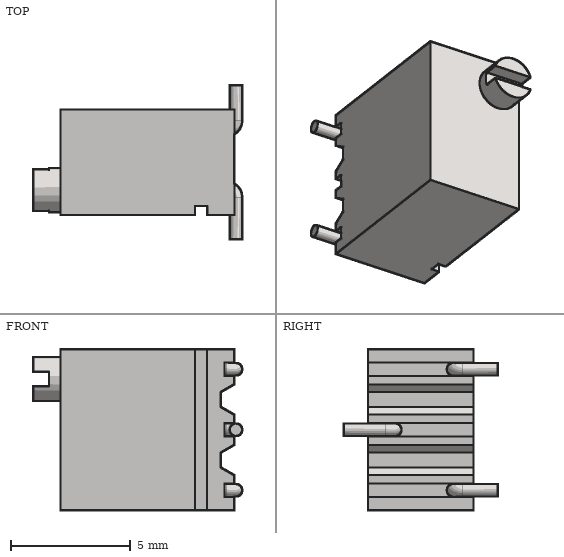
import cadquery as cq
import math

body_length = 7.30
body_depth = 4.44
body_height = 6.76

screw_diameter = 1.86
screw_length = 1.14
screw_from_front = 1.05
screw_below_top = 1.25
driver_slot_width = 0.59
driver_slot_depth = 0.66

groove_width = 0.50
groove_depth = 0.375
groove_start_from_end = 1.64

terminal_pitch = 2.54
pin_diameter = 0.53
pin_overhang_end = 0.34
pin_overhang_side = 1.02
front_bend_inset = 0.75
back_bend_inset = 0.47
bend_inset_end = 0.32
pin_slot_width = 0.55
pin_slot_depth = 0.41
pin_embed = 0.30

notch_depth = 0.56
notch_floor_width = 0.62
notch_mouth_width = 1.26

mid_height = body_height / 2


def make_housing():
    return cq.Workplane("XY").box(body_length, body_depth, body_height, centered=False)


def make_groove():
    return (
        cq.Workplane("XY")
        .box(groove_width, groove_depth, body_height, centered=False)
        .translate((body_length - groove_start_from_end, 0, 0))
    )


def make_notch(z):
    """Trapezoidal notch across the full depth of the +X face."""
    floor_x = body_length - notch_depth
    return (
        cq.Workplane("XZ")
        .moveTo(body_length, z - notch_mouth_width / 2)
        .lineTo(floor_x, z - notch_floor_width / 2)
        .lineTo(floor_x, z + notch_floor_width / 2)
        .lineTo(body_length, z + notch_mouth_width / 2)
        .close()
        .extrude(-body_depth)
    )


def make_pin_slot(z):
    """Rectangular slot across the full depth of the +X face."""
    return (
        cq.Workplane("XY")
        .box(pin_slot_depth, body_depth, pin_slot_width, centered=False)
        .translate((body_length - pin_slot_depth, 0, z - pin_slot_width / 2))
    )


def make_bent_pin(z, bend_inset_side):
    """Round pin leaving the housing along +X and bent towards -Y."""
    root_x = body_length - pin_slot_depth - pin_embed
    bend_x = body_length - bend_inset_end
    leg_x = body_length + pin_overhang_end - pin_diameter / 2
    bend_radius = leg_x - bend_x
    root_y = bend_inset_side + bend_radius
    bend_middle = bend_radius / math.sqrt(2)
    path = (
        cq.Workplane("XY", origin=(0, 0, z))
        .moveTo(root_x, root_y)
        .lineTo(bend_x, root_y)
        .threePointArc(
            (bend_x + bend_middle, bend_inset_side + bend_middle),
            (leg_x, bend_inset_side),
        )
        .lineTo(leg_x, -pin_overhang_side)
    )
    return cq.Workplane("YZ", origin=(root_x, root_y, z)).circle(pin_diameter / 2).sweep(path)


def make_front_pin(z):
    return make_bent_pin(z, front_bend_inset)


def make_back_pin(z):
    """Pin bent towards +Y, mirrored about the middle of the housing depth."""
    return make_bent_pin(z, back_bend_inset).mirror("XZ", (0, body_depth / 2, 0))


def make_screw():
    """Screw head with a horizontal driver slot across its end."""
    screw_z = body_height - screw_below_top
    head = (
        cq.Workplane("YZ", origin=(0, screw_from_front, screw_z))
        .circle(screw_diameter / 2)
        .extrude(-screw_length)
    )
    driver_slot = (
        cq.Workplane("XY")
        .box(driver_slot_depth, screw_diameter, driver_slot_width, centered=(False, True, True))
        .translate((-screw_length, screw_from_front, screw_z))
    )
    return head.cut(driver_slot)


result = make_housing().cut(make_groove())

for side in (-1, 1):
    result = result.cut(make_notch(mid_height + side * terminal_pitch / 2))

for step in (-1, 0, 1):
    result = result.cut(make_pin_slot(mid_height + step * terminal_pitch))

result = result.union(make_front_pin(mid_height))
for side in (-1, 1):
    result = result.union(make_back_pin(mid_height + side * terminal_pitch))

result = result.union(make_screw())